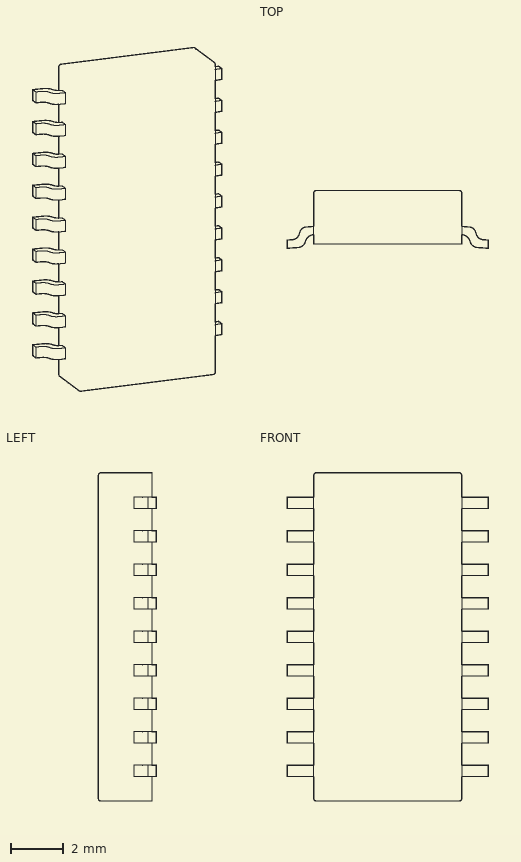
import cadquery as cq
import math

overall_width = 7.62
overall_height = 2.2
body_length = 12.45

body_width = 5.62
standoff = 0.16
edge_radius = 0.105

leads_per_side = 9
lead_pitch = 1.27
lead_width = 0.44
lead_thickness = 0.32
foot_tilt = math.radians(4)
web_angle = math.radians(72)
foot_run = 0.505
web_run = 0.148
upper_face_bend_radius = 0.276
lower_face_bend_radius = 0.32


def make_body():
    """Block with rounded edges everywhere except around its flat mounting face."""
    body = cq.Workplane("XY").box(
        body_width, overall_height - standoff, body_length, centered=(True, False, True)
    )
    body = body.edges("not <Y").fillet(edge_radius)
    return body.translate((0, standoff, 0))


def round_bends(lead, corners, radius):
    """Fillet the lead edges that run along Z through the given XY corners."""
    for corner_x, corner_y in corners:
        edge_middle = cq.NearestToPointSelector((corner_x, corner_y, 0))
        lead = lead.edges("|Z").edges(edge_middle).fillet(radius)
    return lead


def make_lead():
    """Left-hand gull-wing lead of even thickness, centred on Z = 0 and ending inside the body."""
    tip_x = -overall_width / 2
    half_cut = lead_thickness / (2 * math.cos(foot_tilt))
    tip_y = half_cut
    foot_rise = foot_run * math.tan(foot_tilt)
    lower_bend = (tip_x + foot_run, tip_y + foot_rise)
    upper_bend = (lower_bend[0] + web_run, lower_bend[1] + web_run * math.tan(web_angle))
    root_x = upper_bend[0] + foot_run
    root_y = upper_bend[1] + foot_rise

    miter_angle = (foot_tilt + web_angle) / 2
    miter_length = lead_thickness / (2 * math.cos((web_angle - foot_tilt) / 2))
    miter_x = miter_length * math.sin(miter_angle)
    miter_y = miter_length * math.cos(miter_angle)

    outline = [
        (tip_x, tip_y - half_cut),
        (lower_bend[0] + miter_x, lower_bend[1] - miter_y),
        (upper_bend[0] + miter_x, upper_bend[1] - miter_y),
        (root_x, root_y - half_cut),
        (root_x, root_y + half_cut),
        (upper_bend[0] - miter_x, upper_bend[1] + miter_y),
        (lower_bend[0] - miter_x, lower_bend[1] + miter_y),
        (tip_x, tip_y + half_cut),
    ]
    lead = cq.Workplane("XY").polyline(outline).close().extrude(lead_width / 2, both=True)
    lead = round_bends(lead, outline[1:3], lower_face_bend_radius)
    return round_bends(lead, outline[5:7], upper_face_bend_radius)


def add_leads(body):
    """Join one row of leads to each long side of the body."""
    left_lead = make_lead()
    right_lead = left_lead.mirror("YZ")
    first_z = -lead_pitch * (leads_per_side - 1) / 2
    for index in range(leads_per_side):
        offset = (0, 0, first_z + index * lead_pitch)
        body = body.union(left_lead.translate(offset))
        body = body.union(right_lead.translate(offset))
    return body


result = add_leads(make_body())